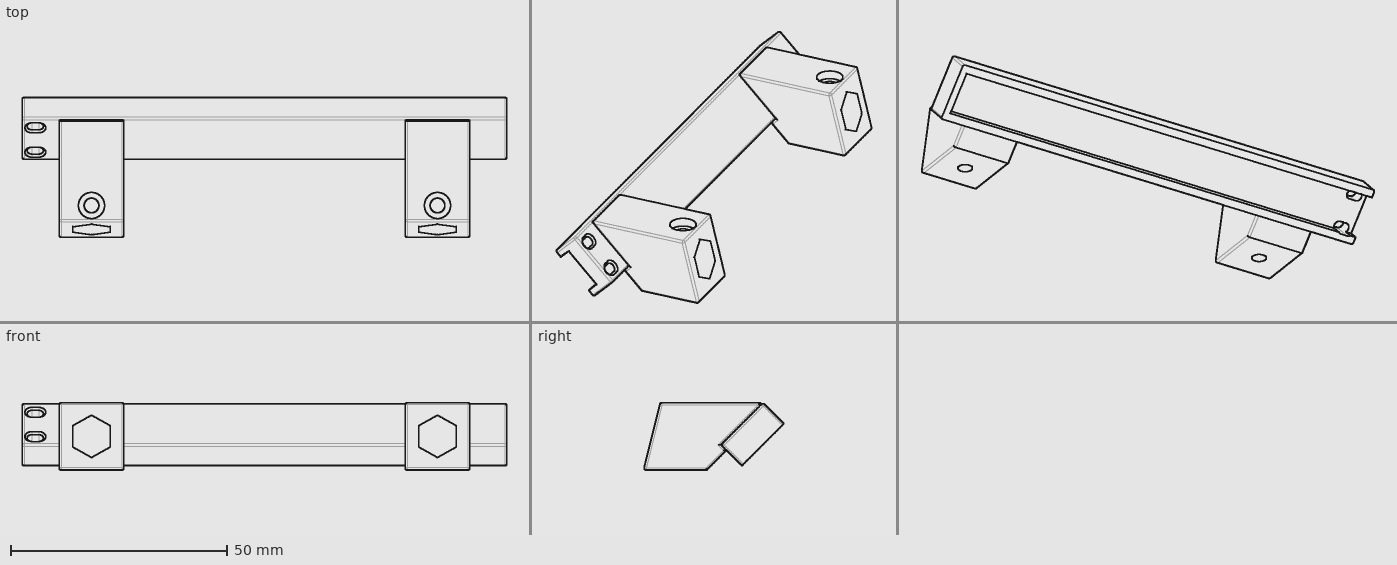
import cadquery as cq
import math

length = 112.0
height = 15.6
bar_width = 13.8
bar_thickness = 6.8
bar_tilt = 45.0
upper_edge_y = 27.5
edge_radius = 0.5

channel_width = 10.1
channel_depth = 2.8
channel_end_wall = 1.7

slot_length = 3.8
slot_width = 2.2
slot_pitch = 8.0
slot_center_from_end = 3.0
slot_offset = 0.2
slot_chamfer = 0.5

foot_width = 15.0
foot_pitch = 80.0
foot_lip = 1.8
front_slope = 14.0
front_bottom_y = -0.1

screw_y = 7.4
screw_diameter = 3.4
screw_head_diameter = 6.0
screw_head_depth = 2.0

badge_across_flats = 8.7
badge_thickness = 0.6

tilt = math.radians(bar_tilt)
slope = math.radians(front_slope)
front_run = height * math.tan(slope)
front_middle_y = front_bottom_y + front_run / 2
front_normal = cq.Vector(0, -math.cos(slope), math.sin(slope))
badge_corner_diameter = badge_across_flats / math.cos(math.radians(30))
foot_centers = [-foot_pitch / 2, foot_pitch / 2]


def on_bar(along_face, depth):
    """(Y, Z) of a point measured down the mounting face and into the bar from its upper edge."""
    y = upper_edge_y - along_face * math.cos(tilt) + depth * math.sin(tilt)
    z = height - along_face * math.sin(tilt) - depth * math.cos(tilt)
    return y, z


def make_bar():
    """Rounded bar with a channel along its back and two slots at the -X end."""
    bar = cq.Workplane("XY").box(length, bar_width, bar_thickness).translate(
        (0, -bar_width / 2, -bar_thickness / 2)
    )
    bar = bar.faces(">Z or <X or >X").edges("not <Z").fillet(edge_radius)

    channel_length = length - channel_end_wall
    channel = cq.Workplane("XY").box(channel_length, channel_width, channel_depth).translate(
        (-channel_end_wall / 2, -bar_width / 2, -bar_thickness + channel_depth / 2)
    )
    bar = bar.cut(channel)

    slot_x = -length / 2 + slot_center_from_end
    slot_middle_y = -bar_width / 2 - slot_offset
    slot_points = [(slot_x, slot_middle_y + side * slot_pitch / 2) for side in (-1, 1)]
    slots = (
        cq.Workplane("XY")
        .pushPoints(slot_points)
        .slot2D(slot_length, slot_width)
        .extrude(-bar_thickness)
    )
    mouths = (
        cq.Workplane("XY")
        .pushPoints(slot_points)
        .slot2D(slot_length + 2 * slot_chamfer, slot_width + 2 * slot_chamfer)
        .extrude(-slot_chamfer, taper=45)
    )
    bar = bar.cut(slots).cut(mouths)
    return bar.rotate((0, 0, 0), (1, 0, 0), bar_tilt).translate((0, upper_edge_y, height))


def make_badge():
    """Hexagonal plate flush with the sloping front of a foot centred on X = 0."""
    front_plane = cq.Plane(
        origin=(0, front_middle_y, height / 2),
        xDir=(1, 0, 0),
        normal=front_normal,
    )
    return (
        cq.Workplane(front_plane)
        .transformed(rotate=(0, 0, 90))
        .polygon(6, badge_corner_diameter)
        .extrude(-badge_thickness)
    )


def make_tip_cutter():
    """Wedge that blunts the foot's sharp rear tip squarely to the mounting face."""
    face_y, face_z = on_bar(edge_radius, 0)
    return (
        cq.Workplane("YZ")
        .moveTo(face_y, face_z)
        .lineTo(upper_edge_y, height)
        .lineTo(face_y - (height - face_z) / math.tan(tilt), height)
        .close()
        .extrude(foot_width / 2, both=True)
    )


def make_foot(badge):
    """Wedge foot centred on X = 0, recessed for the bar and the badge, with a counterbored hole."""
    lip_corner = on_bar(bar_width, foot_lip)
    rear_bottom_y = lip_corner[0] - lip_corner[1] / math.tan(tilt)
    foot = (
        cq.Workplane("YZ")
        .moveTo(front_bottom_y, 0)
        .lineTo(front_bottom_y + front_run, height)
        .lineTo(upper_edge_y, height)
        .lineTo(*on_bar(bar_width, 0))
        .lineTo(*lip_corner)
        .lineTo(rear_bottom_y, 0)
        .close()
        .extrude(foot_width / 2, both=True)
    )
    front = foot.faces(cq.selectors.ParallelDirSelector(front_normal)).edges()
    sides = foot.faces("<X or >X").edges()
    foot = front.add(sides).fillet(edge_radius)
    foot = foot.cut(make_tip_cutter())

    screw_hole = cq.Workplane("XY").center(0, screw_y).circle(screw_diameter / 2).extrude(height)
    screw_head = (
        cq.Workplane("XY", origin=(0, screw_y, height))
        .circle(screw_head_diameter / 2)
        .extrude(-screw_head_depth)
    )
    return foot.cut(screw_hole).cut(screw_head).cut(badge)


bar = make_bar()
badge_shape = make_badge()
foot_shape = make_foot(badge_shape)
feet = [foot_shape.translate((x, 0, 0)) for x in foot_centers]
badges = [badge_shape.translate((x, 0, 0)) for x in foot_centers]

result = cq.Compound.makeCompound(
    [bar.val(), *[foot.val() for foot in feet], *[badge.val() for badge in badges]]
)